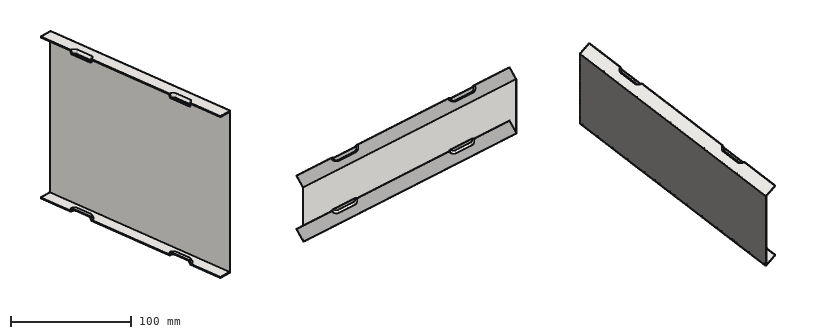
import cadquery as cq
import math

LENGTH = 200.0
DEPTH = 12.5
HEIGHT = 154.5
SHEET = 1.0

DIMPLE_SPACING = 110.0
DIMPLE_STRAIGHT = 15.0
DIMPLE_RIM_RADIUS = 4.0
DIMPLE_FLOOR_RADIUS = 2.2
DIMPLE_PRESS = 3.0
DIMPLE_WALL = 1.0

OPEN_EDGE_Y = -DEPTH / 2
DRAFT = math.degrees(math.atan((DIMPLE_RIM_RADIUS - DIMPLE_FLOOR_RADIUS) / DIMPLE_PRESS))


def make_channel():
    outer = cq.Workplane("XY").box(LENGTH, DEPTH, HEIGHT)
    inside = cq.Workplane("XY").box(LENGTH, DEPTH, HEIGHT - 2 * SHEET)
    return outer.cut(inside.translate((0, -SHEET, 0)))


def tapered_slot(x, rim_z, rim_radius):
    """Downward-narrowing slot centred on the open edge of the flange."""
    return (
        cq.Workplane("XY", origin=(x, OPEN_EDGE_Y, rim_z))
        .slot2D(DIMPLE_STRAIGHT + 2 * rim_radius, 2 * rim_radius)
        .extrude(-DIMPLE_PRESS, taper=DRAFT)
    )


def upper_and_lower(upper):
    return upper.union(upper.mirror("XY"))


result = make_channel()
envelope = cq.Workplane("XY").box(LENGTH, DEPTH, HEIGHT)

for dimple_x in (-DIMPLE_SPACING / 2, DIMPLE_SPACING / 2):
    shell = tapered_slot(dimple_x, HEIGHT / 2 - SHEET, DIMPLE_RIM_RADIUS + DIMPLE_WALL)
    result = result.union(upper_and_lower(shell.intersect(envelope)))
    hollow = tapered_slot(dimple_x, HEIGHT / 2, DIMPLE_RIM_RADIUS)
    result = result.cut(upper_and_lower(hollow))